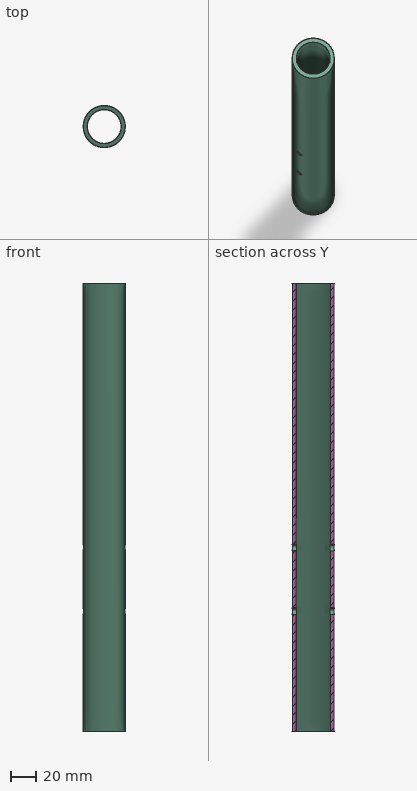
import cadquery as cq

tube_length = 355.5
outer_diameter = 33.5
inner_diameter = 26.5
cross_hole_diameter = 5.0
lower_hole_height = 95.5
hole_spacing = 50.5


def make_tube():
    """Round tube standing on Z, centred on the origin."""
    return (
        cq.Workplane("XY")
        .workplane(offset=-tube_length / 2)
        .circle(outer_diameter / 2)
        .circle(inner_diameter / 2)
        .extrude(tube_length)
    )


def make_cross_hole(height):
    """Pin along X through both walls, at a height above the bottom end."""
    return (
        cq.Workplane("YZ")
        .center(0, height - tube_length / 2)
        .circle(cross_hole_diameter / 2)
        .extrude(outer_diameter, both=True)
    )


result = make_tube()
for hole_height in (lower_hole_height, lower_hole_height + hole_spacing):
    result = result.cut(make_cross_hole(hole_height))